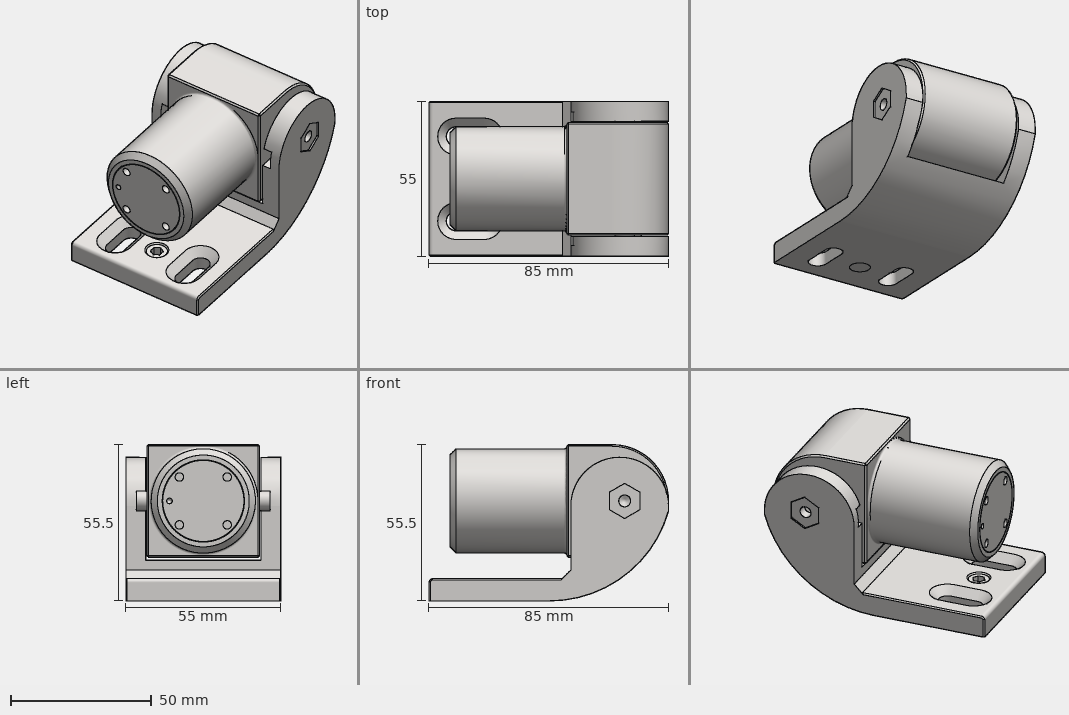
import cadquery as cq
import math

overall_length = 85.0
overall_width = 55.0

plate_thickness = 8.0
arm_front_x = 50.3
arm_top_z = 51.0
bend_start_x = 42.7
bend_radius = 44.0
web_chamfer = 3.0
fork_width = 40.8
fork_floor_z = 14.5
front_edge_radius = 1.5
edge_break = 0.5

slot_spacing = 30.0
slot_center_x = 14.6
slot_travel = 10.0
slot_width = 6.8
slot_countersink_width = 13.0
screw_x = 14.0
screw_diameter = 7.5
screw_countersink_diameter = 8.5
screw_socket_size = 4.0
screw_socket_depth = 4.0

knuckle_size = 40.0
knuckle_front_x = 48.9
axis_z = 35.5
knuckle_edge_break = 0.6
barrel_front_x = 7.4
barrel_diameter = 37.0
barrel_chamfer = 2.2
barrel_root_radius = 0.9

cap_diameter = 28.8
cap_clearance = 0.2
cap_thickness = 3.0
cap_hole_diameter = 3.0
cap_hole_circle_diameter = 24.0
cap_hole_count = 4
cap_hole_first_angle = 45.0
vent_diameter = 2.0
vent_offset = 12.0
vent_depth = 1.0

pin_x = 69.4
pin_head_size = 10.8
pin_head_seat = 3.8
pin_head_sink = 0.7
pin_shank_diameter = 7.0
pin_shank_in_knuckle = 5.0
pin_bore_diameter = 4.2
pin_bore_depth = 4.0
pin_bore_point = 1.0

half_width = overall_width / 2
half_knuckle = knuckle_size / 2
arm_radius = (overall_length - arm_front_x) / 2
arm_center_x = overall_length - arm_radius
arm_center_z = arm_top_z - arm_radius
web_top_z = plate_thickness + web_chamfer
knuckle_round_x = overall_length - half_knuckle
cap_pocket_diameter = cap_diameter + 2 * cap_clearance
pin_shoulder_y = half_width - pin_head_seat
pin_head_outer_y = half_width - pin_head_sink
pin_tip_y = half_knuckle - pin_shank_in_knuckle
slot_countersink_depth = (slot_countersink_width - slot_width) / 2
screw_top_z = plate_thickness - (screw_countersink_diameter - screw_diameter) / 2


def rod_y(x, z, diameter, start_y, end_y):
    """Round bar along Y."""
    return cq.Workplane("XZ", origin=(x, start_y, z)).circle(diameter / 2).extrude(start_y - end_y)


def hexagon_y(x, z, across_flats, start_y, end_y):
    """Hexagonal bar along Y with its corners at top and bottom."""
    corner_diameter = across_flats / math.cos(math.pi / 6)
    return (
        cq.Workplane("XZ", origin=(x, start_y, z))
        .transformed(rotate=(0, 0, 90))
        .polygon(6, corner_diameter)
        .extrude(start_y - end_y)
    )


def hinge_sides(body):
    """The body together with its mirror image on the other side of the XZ plane."""
    return [body, body.mirror("XZ")]


def back_arc_point(x):
    """Point on the large back arc that is tangent to the underside."""
    drop = math.sqrt(bend_radius**2 - (x - bend_start_x) ** 2)
    return (x, bend_radius - drop)


def bracket_blank():
    arc_end = back_arc_point(overall_length)
    arc_middle = back_arc_point((bend_start_x + overall_length) / 2)
    return (
        cq.Workplane("XZ", origin=(0, half_width, 0))
        .moveTo(0, 0)
        .lineTo(bend_start_x, 0)
        .threePointArc(arc_middle, arc_end)
        .lineTo(overall_length, arm_center_z)
        .threePointArc((arm_center_x, arm_top_z), (arm_front_x, arm_center_z))
        .lineTo(arm_front_x, web_top_z)
        .lineTo(arm_front_x - web_chamfer, plate_thickness)
        .lineTo(0, plate_thickness)
        .close()
        .extrude(overall_width)
    )


def break_plate_edges(blank):
    """Rounded front edge, and small chamfers on the front corners and the plate's long top edges."""
    blank = blank.edges("|Z and <X").chamfer(edge_break)
    blank = blank.faces("<X").edges(">Z").fillet(front_edge_radius)
    plate_top_region = cq.selectors.BoxSelector(
        (edge_break, -overall_width, plate_thickness - edge_break),
        (arm_front_x - web_chamfer, overall_width, plate_thickness + edge_break),
    )
    return blank.edges(plate_top_region).edges("|X").chamfer(edge_break)


def slot_cutter(y):
    through = (
        cq.Workplane("XY", origin=(slot_center_x, y, 0))
        .slot2D(slot_travel + slot_width, slot_width)
        .extrude(plate_thickness)
    )
    countersink = (
        cq.Workplane("XY", origin=(slot_center_x, y, plate_thickness))
        .slot2D(slot_travel + slot_countersink_width, slot_countersink_width)
        .extrude(-slot_countersink_depth, taper=45)
    )
    return through.union(countersink)


def screw_hole_cutter():
    depth = plate_thickness - screw_top_z
    hole = cq.Workplane("XY", origin=(screw_x, 0, 0)).circle(screw_diameter / 2).extrude(plate_thickness)
    countersink = (
        cq.Workplane("XY", origin=(screw_x, 0, plate_thickness))
        .circle(screw_countersink_diameter / 2)
        .extrude(-depth, taper=45)
    )
    return hole.union(countersink)


def pin_seat_cutter():
    """Hexagonal recess from outside and an open-fronted shank slot from inside the arm."""
    fork_face_y = fork_width / 2
    head = hexagon_y(pin_x, axis_z, pin_head_size, pin_shoulder_y, half_width)
    shank = rod_y(pin_x, axis_z, pin_shank_diameter, fork_face_y, pin_shoulder_y)
    entry_length = pin_x - arm_front_x
    entry_depth = pin_shoulder_y - fork_face_y
    entry = (
        cq.Workplane("XY")
        .box(entry_length, entry_depth, pin_shank_diameter, centered=(False, False, True))
        .translate((arm_front_x, fork_face_y, axis_z))
    )
    return head.union(shank).union(entry)


def fork_gap():
    """Gap between the arms, open to the front, the back and the top."""
    start_x = arm_front_x - web_chamfer
    return (
        cq.Workplane("XY")
        .box(overall_length - start_x, fork_width, arm_top_z - fork_floor_z, centered=(False, True, False))
        .translate((start_x, 0, fork_floor_z))
    )


bracket = break_plate_edges(bracket_blank())
bracket = bracket.cut(fork_gap())
for side in (-1, 1):
    bracket = bracket.cut(slot_cutter(side * slot_spacing / 2))
bracket = bracket.cut(screw_hole_cutter())
for seat in hinge_sides(pin_seat_cutter()):
    bracket = bracket.cut(seat)


def knuckle_block():
    block = (
        cq.Workplane("XZ", origin=(0, half_knuckle, 0))
        .moveTo(knuckle_front_x, axis_z - half_knuckle)
        .lineTo(knuckle_round_x, axis_z - half_knuckle)
        .threePointArc((overall_length, axis_z), (knuckle_round_x, axis_z + half_knuckle))
        .lineTo(knuckle_front_x, axis_z + half_knuckle)
        .close()
        .extrude(knuckle_size)
    )
    return block.faces("<X or <Y or >Y").edges().chamfer(knuckle_edge_break)


def barrel():
    """Turned barrel: chamfered nose, and a root that flares into the knuckle's front face."""
    radius = barrel_diameter / 2
    root_x = knuckle_front_x - barrel_root_radius
    flare_radius = radius + barrel_root_radius
    flare_offset = barrel_root_radius * math.sqrt(0.5)
    return (
        cq.Workplane("XZ")
        .moveTo(barrel_front_x, 0)
        .lineTo(barrel_front_x, radius - barrel_chamfer)
        .lineTo(barrel_front_x + barrel_chamfer, radius)
        .lineTo(root_x, radius)
        .threePointArc((root_x + flare_offset, flare_radius - flare_offset), (knuckle_front_x, flare_radius))
        .lineTo(knuckle_front_x, 0)
        .close()
        .revolve(360, (0, 0, 0), (1, 0, 0))
        .translate((0, 0, axis_z))
    )


def pin_shank_hole():
    return rod_y(pin_x, axis_z, pin_shank_diameter, pin_tip_y, half_knuckle)


cap_pocket = (
    cq.Workplane("YZ", origin=(barrel_front_x, 0, axis_z))
    .circle(cap_pocket_diameter / 2)
    .extrude(cap_thickness)
)
knuckle = knuckle_block().union(barrel()).cut(cap_pocket)
for hole in hinge_sides(pin_shank_hole()):
    knuckle = knuckle.cut(hole)

vent = cq.Workplane(
    cq.Solid.makeCone(
        vent_diameter / 2, 0, vent_depth, cq.Vector(barrel_front_x, vent_offset, axis_z), cq.Vector(1, 0, 0)
    )
)
cap = (
    cq.Workplane("YZ", origin=(barrel_front_x, 0, axis_z))
    .circle(cap_diameter / 2)
    .extrude(cap_thickness)
    .faces("<X")
    .workplane(origin=(barrel_front_x, 0, axis_z))
    .polarArray(cap_hole_circle_diameter / 2, cap_hole_first_angle, 360, cap_hole_count)
    .hole(cap_hole_diameter)
    .cut(vent)
)


def pivot_pin():
    """Hex-headed pin on the +Y side, with a drilled bore in its head."""
    head = hexagon_y(pin_x, axis_z, pin_head_size, pin_shoulder_y, pin_head_outer_y)
    shank = rod_y(pin_x, axis_z, pin_shank_diameter, pin_tip_y, pin_shoulder_y)
    bore_floor_y = pin_head_outer_y - pin_bore_depth
    bore = rod_y(pin_x, axis_z, pin_bore_diameter, bore_floor_y, pin_head_outer_y)
    point = cq.Solid.makeCone(
        pin_bore_diameter / 2, 0, pin_bore_point, cq.Vector(pin_x, bore_floor_y, axis_z), cq.Vector(0, -1, 0)
    )
    return head.union(shank).cut(bore).cut(cq.Workplane(point))


pins = hinge_sides(pivot_pin())

set_screw = (
    cq.Workplane("XY", origin=(screw_x, 0, 0))
    .circle(screw_diameter / 2)
    .extrude(screw_top_z)
    .faces(">Z")
    .workplane()
    .polygon(6, screw_socket_size / math.cos(math.pi / 6))
    .cutBlind(-screw_socket_depth)
)

result = cq.Compound.makeCompound(
    [bracket.val(), knuckle.val(), cap.val(), *[pin.val() for pin in pins], set_screw.val()]
)